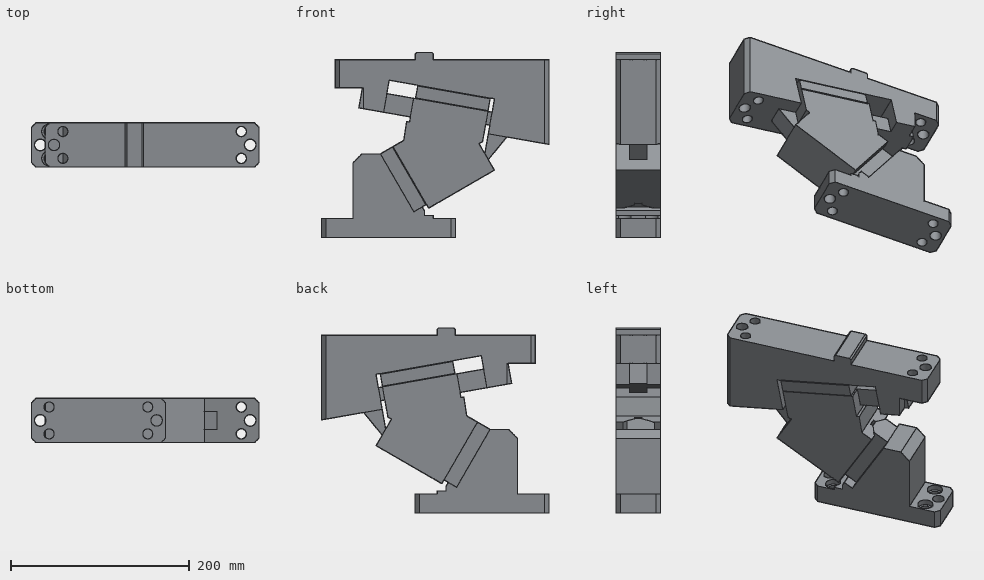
import cadquery as cq
import math

width = 50.0
corner_chamfer = 5.0
dowel_diameter = 12.8
bolt_diameter = 11.2
dowel_inset = 10.0
bolt_inset = 20.0
bolt_offset = 15.0

base_length = 150.2
plate_thickness = 21.5
counterbore_diameter = 16.8
counterbore_depth = 6.5
block_left = 35.2
block_top = 93.8
block_chamfer = 10.2
pad_left = 115.5
pad_right = 125.5
pad_top = 24.7
end_stop_height = 11.0

guide_angle = 60
guide_x = 66.0
guide_length = 75.0
ridge_wide_side = 18.4
ridge_narrow_side = 12.5
ridge_side_height = 15.5
ridge_root = 1.3
ridge_flat_half_width = 4.0
ridge_roof_angle = 30
roof_slope = math.tan(math.radians(ridge_roof_angle))
ridge_top = ridge_side_height + (ridge_wide_side - ridge_flat_half_width) * roof_slope
relief_depth = 2.8

slide_bottom_out = 16.3
slide_rear_out = 101.5
slide_lower_along = 79.8
slide_shoulder_along = 45.5
slide_nose_out = 30.0
slide_shoulder_down = 49.7
slide_front = 30.3
slide_step = 3.3
slide_step_down = 42.0
slide_rear = 115.0
cap_front_setback = 2.0
cap_chamfer = 0.8

holder_left = 15.3
holder_right = 255.0
holder_top = 199.5
holder_underside = 167.8
leg_left = 47.0
key_left = 105.0
key_width = 20.5
key_height = 8.2
key_chamfer = 1.8
window_angle = 10
window_x = 76.0
window_z = 176.2
window_length = 119.5
leg_depth = 36.5
rear_depth = 39.8
tongue_width = 20.0
tongue_top_down = 15.0
leg_rib_length = 28.3
tongue_rear_down = 30.0
rib_length = 21.2
rib_height = 37.7


def tilted_point(origin, angle, along, across):
    """Point `along` a line that falls at `angle`, then `across` it to its upper right."""
    slope = math.radians(angle)
    x = origin[0] + along * math.cos(slope) + across * math.sin(slope)
    z = origin[1] - along * math.sin(slope) + across * math.cos(slope)
    return (x, z)


def guide_point(along, out):
    return tilted_point((guide_x, block_top), guide_angle, along, out)


def window_point(along, down):
    return tilted_point((window_x, window_z), window_angle, along, -down)


def prism(points, thickness):
    """Side outline extruded symmetrically about the centre plane."""
    return cq.Workplane("XZ").polyline(points).close().extrude(thickness / 2, both=True)


def window_bar(front, rear, top, bottom, thickness):
    """Bar that is rectangular in the window frame."""
    corners = [(front, top), (rear, top), (rear, bottom), (front, bottom)]
    return prism([window_point(*corner) for corner in corners], thickness)


def guide_prism(profile, start, end):
    """(y, out) profile swept along the guide from `start` to `end`."""
    x, z = guide_point(start, 0)
    slope = math.radians(guide_angle)
    direction = (math.cos(slope), 0, -math.sin(slope))
    plane = cq.Plane(origin=(x, 0, z), xDir=(0, 1, 0), normal=direction)
    return cq.Workplane(plane).polyline(profile).close().extrude(end - start)


def vertical_hole(x, y, diameter, bottom, top):
    return cq.Workplane("XY", origin=(x, y, bottom)).circle(diameter / 2).extrude(top - bottom)


def chamfer_plate_ends(body, left, right):
    """Chamfers the vertical corners at the two ends of a mounting plate."""
    reach = corner_chamfer / 2
    for x in (left, right):
        box = cq.selectors.BoxSelector((x - reach, -width, 0), (x + reach, width, holder_top))
        body = body.edges("|Z").edges(box).chamfer(corner_chamfer)
    return body


def mounting_spots(left, right):
    """Places of the dowel holes and of the bolt holes at both ends of a plate."""
    dowels = [(left + dowel_inset, 0), (right - dowel_inset, 0)]
    bolt_rows = (left + bolt_inset, right - bolt_inset)
    bolts = [(x, y) for x in bolt_rows for y in (-bolt_offset, bolt_offset)]
    return dowels, bolts


def make_ridge():
    narrow_side_height = ridge_top - (ridge_narrow_side - ridge_flat_half_width) * roof_slope
    profile = [
        (-ridge_wide_side, -ridge_root),
        (-ridge_wide_side, ridge_side_height),
        (-ridge_flat_half_width, ridge_top),
        (ridge_flat_half_width, ridge_top),
        (ridge_narrow_side, narrow_side_height),
        (ridge_narrow_side, -ridge_root),
    ]
    return guide_prism(profile, 0, guide_length)


def make_base():
    end_stop_top = guide_point(guide_length, end_stop_height)
    drop = (pad_left - end_stop_top[0]) * math.tan(math.radians(guide_angle))
    outline = [
        (0, 0),
        (base_length, 0),
        (base_length, plate_thickness),
        (pad_right, plate_thickness),
        (pad_right, pad_top),
        (pad_left, pad_top),
        (pad_left, end_stop_top[1] - drop),
        end_stop_top,
        guide_point(guide_length, 0),
        guide_point(0, 0),
        (block_left + block_chamfer, block_top),
        (block_left, block_top - block_chamfer),
        (block_left, plate_thickness),
        (0, plate_thickness),
    ]
    body = chamfer_plate_ends(prism(outline, width), 0, base_length)
    body = body.union(make_ridge())
    dowels, bolts = mounting_spots(0, base_length)
    for x, y in dowels:
        body = body.cut(vertical_hole(x, y, dowel_diameter, 0, plate_thickness))
    seat = plate_thickness - counterbore_depth
    for x, y in bolts:
        body = body.cut(vertical_hole(x, y, bolt_diameter, 0, plate_thickness))
        body = body.cut(vertical_hole(x, y, counterbore_diameter, seat, pad_top))
    return body


def make_slide_body():
    outline = [
        window_point(slide_front, tongue_top_down),
        window_point(slide_rear, tongue_top_down),
        window_point(slide_rear, slide_shoulder_down),
        guide_point(slide_shoulder_along, slide_rear_out),
        guide_point(slide_lower_along, slide_rear_out),
        guide_point(slide_lower_along, slide_bottom_out),
        guide_point(0, slide_bottom_out),
        guide_point(0, slide_nose_out),
        window_point(slide_front - slide_step, slide_step_down),
        window_point(slide_front, slide_step_down),
    ]
    return prism(outline, width)


def make_cap():
    """Top slab of the slide, running between the tongue and the window roof."""
    cap = window_bar(slide_front + cap_front_setback, slide_rear, 0, tongue_top_down, width)
    slope = math.radians(window_angle)
    lengthwise = cq.selectors.ParallelDirSelector(cq.Vector(math.cos(slope), 0, -math.sin(slope)))
    return cap.edges(lengthwise).chamfer(cap_chamfer)


def make_slide_groove():
    """Groove that straddles the roof of the ridge, with a relief slot above the flat."""
    spread = (ridge_top - slide_bottom_out) / roof_slope
    half_mouth = ridge_flat_half_width + spread
    profile = [
        (-half_mouth, slide_bottom_out),
        (-ridge_flat_half_width, ridge_top),
        (-ridge_flat_half_width, ridge_top + relief_depth),
        (ridge_flat_half_width, ridge_top + relief_depth),
        (ridge_flat_half_width, ridge_top),
        (half_mouth, slide_bottom_out),
    ]
    return guide_prism(profile, 0, slide_lower_along)


def make_tongue():
    """Bar across the window that carries the slide; its rear half is thinner."""
    middle = window_length / 2
    front_half = window_bar(0, middle, tongue_top_down, leg_depth, tongue_width)
    rear_half = window_bar(middle, window_length, tongue_top_down, tongue_rear_down, tongue_width)
    return front_half.union(rear_half)


def make_slide():
    body = make_slide_body().union(make_cap())
    return body.cut(make_slide_groove()).cut(make_tongue())


def make_key():
    key_right = key_left + key_width
    key_top = holder_top + key_height
    outline = [
        (key_left, holder_top),
        (key_right, holder_top),
        (key_right, key_top),
        (key_left, key_top),
    ]
    return prism(outline, width).faces(">Z").edges("|Y").chamfer(key_chamfer)


def make_stop_rib():
    """Triangular rib under the rear block, trimmed flush where it meets the slide."""
    outline = [
        window_point(window_length, rear_depth),
        window_point(window_length + rib_length, rear_depth),
        window_point(window_length, rear_depth + rib_height),
    ]
    return prism(outline, tongue_width).cut(make_slide_body())


def make_holder():
    underside_fall = math.tan(math.radians(window_angle))
    leg_bottom = window_point(0, leg_depth)
    rear_bottom = window_point(window_length, rear_depth)
    outline = [
        (holder_left, holder_top),
        (holder_right, holder_top),
        (holder_right, rear_bottom[1] - (holder_right - rear_bottom[0]) * underside_fall),
        rear_bottom,
        window_point(window_length, 0),
        window_point(0, 0),
        leg_bottom,
        (leg_left, leg_bottom[1] + (leg_bottom[0] - leg_left) * underside_fall),
        (leg_left, holder_underside),
        (holder_left, holder_underside),
    ]
    body = chamfer_plate_ends(prism(outline, width), holder_left, holder_right)
    leg_rib = window_bar(-leg_rib_length, 0, 0, leg_depth, tongue_width)
    body = body.union(leg_rib).union(make_key()).union(make_tongue()).union(make_stop_rib())
    dowels, bolts = mounting_spots(holder_left, holder_right)
    for x, y in dowels:
        body = body.cut(vertical_hole(x, y, dowel_diameter, 0, holder_top))
    for x, y in bolts:
        body = body.cut(vertical_hole(x, y, bolt_diameter, 0, holder_top))
    return body


base = make_base()
slide = make_slide()
holder = make_holder()
result = cq.Compound.makeCompound([base.val(), slide.val(), holder.val()])